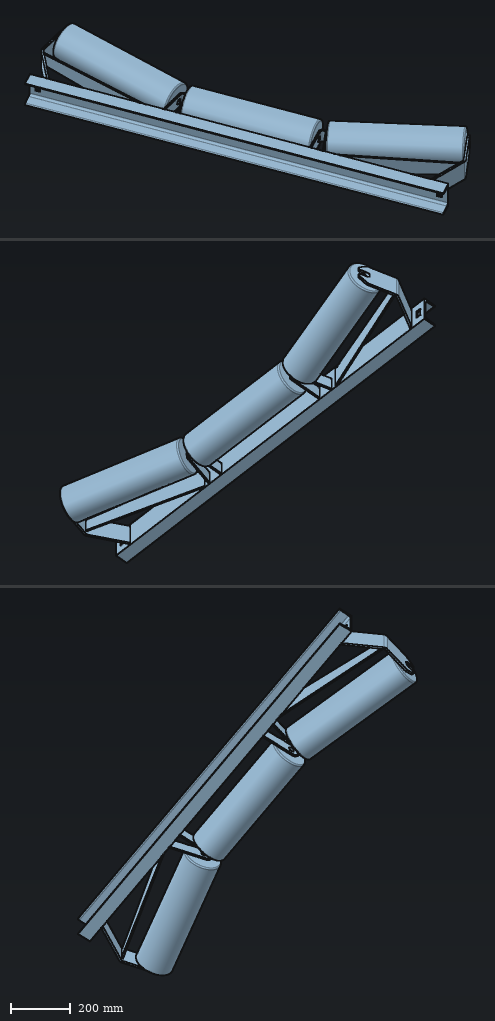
import cadquery as cq
import math


beam_length = 1500
beam_height = 100
beam_width = 50
web_thickness = 6
flange_thickness = 8.5
flange_slope = 0.08
root_radius = 8.5
toe_radius = 4.5
beam_hole_width = 18
beam_hole_height = 30
beam_hole_end_distance = 30

roller_diameter = 133
roller_length = 465
roller_end_radius = 5
shaft_diameter = 20
end_gap = 3.5
centre_roller_y = 117
centre_roller_z = -19.8
trough_angle = 15
lift_angle = 2.4
side_roller_x = 495.55
side_roller_y = 182.3

hairpin_thickness = 6
hairpin_width = 50
hairpin_height = 142

bracket_thickness = 8
bracket_width = 82
bracket_top_y = 275
bracket_leg_angle = 29
bracket_bend_y = 134.5
bracket_bend_radius = 18
bracket_corner_length = 33
bracket_corner_depth = 20

brace_thickness = 6
brace_bend_width = 50
brace_foot_width = 84
brace_angle = 17.6

trough = math.radians(trough_angle)
half_roller = roller_length / 2
side_roller_z = centre_roller_z + half_roller * math.sin(math.radians(lift_angle))
hairpin_shaft_end = half_roller + end_gap + hairpin_thickness
bracket_shaft_end = half_roller + end_gap + bracket_thickness
cut_margin = 20


def along(point, angle, distance):
    """The point at a distance from another, in a direction given in radians from +X."""
    return (point[0] + distance * math.cos(angle), point[1] + distance * math.sin(angle))


def cross_line_x(distance, y):
    """X at height y on the line square to the side roller, at a distance along it from its middle."""
    foot_x, foot_y = along((side_roller_x, side_roller_y), trough, distance)
    return foot_x - (y - foot_y) * math.tan(trough)


def cylinder_along_x(diameter, start, end):
    return cq.Workplane("YZ", origin=(start, 0, 0)).circle(diameter / 2).extrude(end - start)


def place_centre(body):
    return body.translate((0, centre_roller_y, centre_roller_z))


def place_side(body):
    lifted = body.rotate((0, 0, 0), (0, 1, 0), -lift_angle)
    troughed = lifted.rotate((0, 0, 0), (0, 0, 1), trough_angle)
    return troughed.translate((side_roller_x, side_roller_y, side_roller_z))


def make_beam():
    half_height = beam_height / 2
    toe_z = half_height - flange_thickness + flange_slope * beam_width / 2
    root_z = toe_z - flange_slope * (beam_width - web_thickness)
    section = [
        (0, -half_height),
        (0, half_height),
        (-beam_width, half_height),
        (-beam_width, toe_z),
        (-web_thickness, root_z),
        (-web_thickness, -root_z),
        (-beam_width, -toe_z),
        (-beam_width, -half_height),
    ]
    beam = cq.Workplane("YZ").polyline(section).close().extrude(beam_length / 2, both=True)
    for y, z, radius in ((-web_thickness, root_z, root_radius), (-beam_width, toe_z, toe_radius)):
        for side in (-1, 1):
            beam = beam.edges(cq.NearestToPointSelector((0, y, side * z))).fillet(radius)

    hole_x = beam_length / 2 - beam_hole_end_distance
    holes = (
        cq.Workplane("XZ")
        .pushPoints([(-hole_x, 0), (hole_x, 0)])
        .rect(beam_hole_width, beam_hole_height)
        .extrude(web_thickness)
    )
    return beam.cut(holes)


def make_roller(inner_shaft_end, outer_shaft_end):
    """A roller on the X axis with its fixed shaft."""
    shell = cylinder_along_x(roller_diameter, -half_roller, half_roller)
    shell = shell.faces("<X or >X").edges().fillet(roller_end_radius)
    return shell.union(cylinder_along_x(shaft_diameter, -inner_shaft_end, outer_shaft_end))


def make_hairpin():
    """Strip bent over like a hairpin: one leg square to each of the two rollers it carries."""
    upright_x = half_roller + end_gap
    sloped_foot_x = cross_line_x(-upright_x, 0)
    foot_spread = sloped_foot_x - upright_x - hairpin_height * math.tan(trough)
    crown_radius = foot_spread / (1 + 1 / math.cos(trough) - math.tan(trough))
    crown = (upright_x + crown_radius, hairpin_height - crown_radius)

    def filled_outline(inset):
        radius = crown_radius - inset
        return (
            cq.Workplane("XY", origin=(0, 0, centre_roller_z))
            .moveTo(upright_x + inset, 0)
            .lineTo(*along(crown, math.pi, radius))
            .threePointArc(along(crown, math.pi / 2, radius), along(crown, trough, radius))
            .lineTo(sloped_foot_x - inset / math.cos(trough), 0)
            .close()
            .extrude(hairpin_width / 2, both=True)
        )

    hairpin = filled_outline(0).cut(filled_outline(hairpin_thickness))
    hairpin = hairpin.cut(place_centre(cylinder_along_x(shaft_diameter, 0, hairpin_shaft_end)))
    return hairpin.cut(place_side(cylinder_along_x(shaft_diameter, -hairpin_shaft_end, 0)))


bend_centre = (cross_line_x(bracket_shaft_end - bracket_bend_radius, bracket_bend_y), bracket_bend_y)
leg_facing = -math.radians(bracket_leg_angle)
bend_inner_radius = bracket_bend_radius - bracket_thickness


def make_bracket():
    """Strip square to the side roller's outer end, bent back to the beam and notched for the shaft."""

    def leg_foot(radius):
        return (bend_centre[0] + (radius - bend_centre[1] * math.sin(-leg_facing)) / math.cos(leg_facing), 0)

    upper_start = along(bend_centre, trough, bracket_bend_radius)
    upper_length = (bracket_top_y - upper_start[1]) / math.cos(trough)
    top = along(upper_start, trough + math.pi / 2, upper_length)
    mid_bend = (trough + leg_facing) / 2
    strip = (
        cq.Workplane("XY")
        .moveTo(*leg_foot(bracket_bend_radius))
        .lineTo(*along(bend_centre, leg_facing, bracket_bend_radius))
        .threePointArc(along(bend_centre, mid_bend, bracket_bend_radius), upper_start)
        .lineTo(*top)
        .lineTo(*along(top, trough, -bracket_thickness))
        .lineTo(*along(bend_centre, trough, bend_inner_radius))
        .threePointArc(
            along(bend_centre, mid_bend, bend_inner_radius),
            along(bend_centre, leg_facing, bend_inner_radius),
        )
        .lineTo(*leg_foot(bend_inner_radius))
        .close()
        .extrude(bracket_width / 2, both=True)
    )

    face = cq.Plane(
        origin=(top[0], top[1], 0),
        xDir=(-math.sin(trough), math.cos(trough), 0),
        normal=(math.cos(trough), math.sin(trough), 0),
    )
    for side in (-1, 1):
        edge = side * bracket_width / 2
        corner = [(0, edge), (-bracket_corner_length, edge), (0, edge - side * bracket_corner_depth)]
        cutter = cq.Workplane(face).polyline(corner).close().extrude(bracket_thickness, both=True)
        strip = strip.cut(cutter)

    slot_length = bracket_shaft_end + cut_margin
    slot_depth = bracket_top_y - side_roller_y
    slot = cylinder_along_x(shaft_diameter, 0, slot_length)
    opening = cq.Workplane("XY").box(slot_length, slot_depth, shaft_diameter, centered=(False, False, True))
    return strip.cut(place_side(slot.union(opening)))


def make_brace(bracket):
    """Sloping flat strip that widens from the bracket's bend to its foot on the beam."""
    angle = math.radians(brace_angle)
    start = along(bend_centre, (trough + leg_facing) / 2, (bend_inner_radius + bracket_bend_radius) / 2)
    foot_x = start[0] - start[1] / math.tan(angle)
    foot_step = brace_thickness / math.sin(angle)
    profile = [(foot_x, 0), start, along(start, angle + math.pi / 2, brace_thickness), (foot_x - foot_step, 0)]
    strip = cq.Workplane("XY").polyline(profile).close().extrude(brace_foot_width / 2, both=True)

    foot_end_x = foot_x - foot_step
    outline = [
        (foot_end_x, -brace_foot_width / 2),
        (start[0], -brace_bend_width / 2),
        (start[0], brace_bend_width / 2),
        (foot_end_x, brace_foot_width / 2),
    ]
    taper = cq.Workplane("XZ").polyline(outline).close().extrude(-bracket_top_y)
    return strip.intersect(taper).cut(bracket)


beam = make_beam()
centre_roller = place_centre(make_roller(hairpin_shaft_end, hairpin_shaft_end))
side_roller = place_side(make_roller(hairpin_shaft_end, bracket_shaft_end))
hairpin = make_hairpin()
bracket = make_bracket()
brace = make_brace(bracket)

bodies = [beam.solids().val(), centre_roller.solids().val()]
for body in (side_roller, hairpin, bracket, brace):
    bodies += [body.solids().val(), body.mirror("YZ").solids().val()]

result = cq.Compound.makeCompound(bodies)